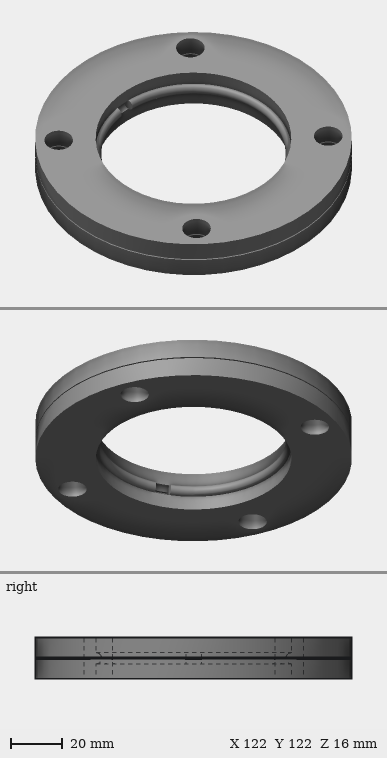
import cadquery as cq

outer_diameter = 122.0
total_height = 16.0
plate_gap = 0.5
plate_thickness = (total_height - plate_gap) / 2
bore_diameter = 75.4

bolt_hole_diameter = 11.0
bolt_spacing = 73.5

wire_radius = 2.2
wire_split_width = 6.1


def make_plate(bottom_z):
    """Flat annular plate with four bolt holes."""
    return (
        cq.Workplane("XY", origin=(0, 0, bottom_z))
        .circle(outer_diameter / 2)
        .circle(bore_diameter / 2)
        .rect(bolt_spacing, bolt_spacing, forConstruction=True)
        .vertices()
        .circle(bolt_hole_diameter / 2)
        .extrude(plate_thickness)
    )


def make_wire_ring():
    """Full ring of round wire lying on the bore wall."""
    return cq.Workplane("XY").add(
        cq.Solid.makeTorus(bore_diameter / 2, wire_radius)
    )


lower_plate = make_plate(-total_height / 2)
upper_plate = make_plate(plate_gap / 2)
wire_ring = make_wire_ring()

split_cutter = cq.Workplane("XY").box(outer_diameter, wire_split_width, total_height)
split_wire = wire_ring.cut(split_cutter)

result = (
    lower_plate.cut(wire_ring)
    .union(upper_plate.cut(wire_ring))
    .union(split_wire)
)